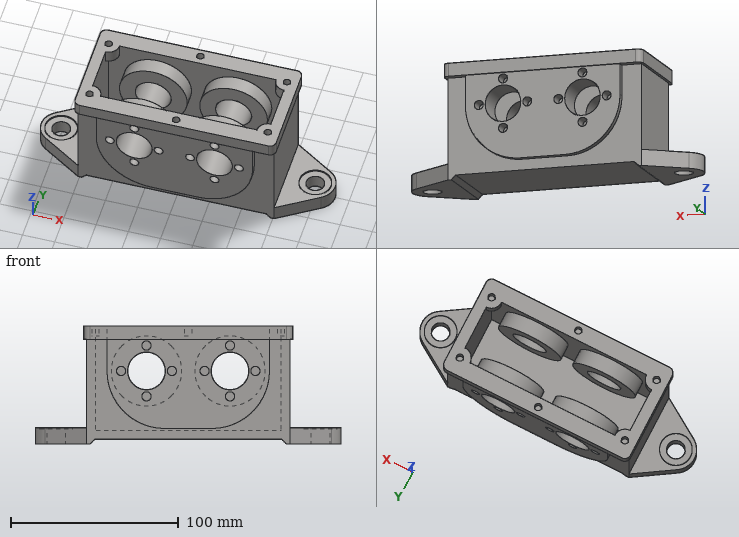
import cadquery as cq
import math

total_length = 182.6
total_height = 70.5
body_length = 121.6
body_width = 52.5
wall = 5.5
cavity_length = body_length - 2 * wall
cavity_width = body_width - 2 * wall

flange_length = 125.0
flange_width = 62.3
flange_height = 8.0
flange_corner_radius = 3.8
flange_bottom = total_height - flange_height

post_radius = 6.8
screw_hole_diameter = 4.4
screw_hole_depth = 6.0
middle_screw_y = 26.3

bore_spacing = 49.9
bore_height = 43.7
bore_diameter = 22.3
bearing_boss_diameter = 42.0
bearing_boss_length = 9.5
bolt_circle_radius = 15.2
bolt_hole_diameter = 5.5

pad_length = 97.0
pad_span = 60.3
pad_bottom = 9.3
pad_corner_radius = bore_height - pad_bottom
pad_thickness = (pad_span - body_width) / 2
bolt_hole_depth = pad_thickness + wall

lug_height = 9.9
lug_radius = 12.5
lug_hole_x = total_length / 2 - lug_radius
lug_hole_diameter = 11.1
spotface_diameter = 19.5
spotface_depth = 1.0

relief_height = 2.7
relief_bottom_length = 117.3
relief_top_length = relief_bottom_length - 2 * relief_height

floor_top = relief_height + wall
bore_centers = [(-bore_spacing / 2, bore_height), (bore_spacing / 2, bore_height)]


def box_between(length, width, bottom, top):
    """Upright block centred in X and Y between two heights."""
    return cq.Workplane("XY").workplane(offset=bottom).rect(length, width).extrude(top - bottom)


def plane_at_y(y):
    """Workplane facing -Y, with local x along X and local y along Z."""
    return cq.Workplane("XZ", origin=(0, y, 0))


def mirrored_pair(solid, plane):
    return solid.union(solid.mirror(plane))


def lugs():
    """Tapered lugs whose sides run from the body corners tangent to the round tips."""
    corner_x = body_length / 2
    corner_y = body_width / 2
    run = lug_hole_x - corner_x
    corner_distance = math.hypot(run, corner_y)
    angle = math.atan2(corner_y, -run) - math.acos(lug_radius / corner_distance)
    tangent_x = lug_hole_x + lug_radius * math.cos(angle)
    tangent_y = lug_radius * math.sin(angle)
    lug = (
        cq.Workplane("XY")
        .moveTo(0, -corner_y)
        .lineTo(corner_x, -corner_y)
        .lineTo(tangent_x, -tangent_y)
        .threePointArc((total_length / 2, 0), (tangent_x, tangent_y))
        .lineTo(corner_x, corner_y)
        .lineTo(0, corner_y)
        .close()
        .extrude(lug_height)
    )
    return mirrored_pair(lug, "YZ")


def lug_holes():
    centers = [(-lug_hole_x, 0), (lug_hole_x, 0)]
    holes = cq.Workplane("XY").pushPoints(centers).circle(lug_hole_diameter / 2).extrude(lug_height)
    spotfaces = (
        cq.Workplane("XY")
        .workplane(offset=lug_height - spotface_depth)
        .pushPoints(centers)
        .circle(spotface_diameter / 2)
        .extrude(spotface_depth)
    )
    return holes.union(spotfaces)


def pads():
    """One block through the body makes the pad on each side."""
    block = box_between(pad_length, pad_span, pad_bottom, flange_bottom)
    return block.faces("<Z").edges("|Y").fillet(pad_corner_radius)


def flange():
    block = box_between(flange_length, flange_width, flange_bottom, total_height)
    return block.edges("|Z").fillet(flange_corner_radius)


def corner_posts():
    """Round posts that fill the cavity corners at the level of the flange."""
    return (
        cq.Workplane("XY")
        .workplane(offset=flange_bottom)
        .rect(cavity_length, cavity_width, forConstruction=True)
        .vertices()
        .circle(post_radius)
        .extrude(flange_height)
    )


def screw_holes():
    """Blind holes from the rim face that stop inside the flange."""
    corners = [(sx * cavity_length / 2, sy * cavity_width / 2) for sx in (-1, 1) for sy in (-1, 1)]
    middles = [(0, -middle_screw_y), (0, middle_screw_y)]
    return (
        cq.Workplane("XY")
        .workplane(offset=total_height)
        .pushPoints(corners + middles)
        .circle(screw_hole_diameter / 2)
        .extrude(-screw_hole_depth)
    )


def bearing_bosses():
    """Round bosses standing inward from the long cavity walls."""
    bosses = (
        plane_at_y(cavity_width / 2)
        .pushPoints(bore_centers)
        .circle(bearing_boss_diameter / 2)
        .extrude(bearing_boss_length)
    )
    return mirrored_pair(bosses, "XZ")


def bearing_bores():
    return (
        plane_at_y(pad_span / 2)
        .pushPoints(bore_centers)
        .circle(bore_diameter / 2)
        .extrude(pad_span)
    )


def bolt_holes():
    """Four blind holes around each bore, in both pads."""
    centers = []
    for x, z in bore_centers:
        for dx, dz in ((1, 0), (0, 1), (-1, 0), (0, -1)):
            centers.append((x + dx * bolt_circle_radius, z + dz * bolt_circle_radius))
    holes = (
        plane_at_y(pad_span / 2)
        .pushPoints(centers)
        .circle(bolt_hole_diameter / 2)
        .extrude(bolt_hole_depth)
    )
    return mirrored_pair(holes, "XZ")


def underside_relief():
    """Channel across the full width with 45-degree ends."""
    return (
        plane_at_y(body_width / 2)
        .moveTo(-relief_bottom_length / 2, 0)
        .lineTo(-relief_top_length / 2, relief_height)
        .lineTo(relief_top_length / 2, relief_height)
        .lineTo(relief_bottom_length / 2, 0)
        .close()
        .extrude(body_width)
    )


outside = box_between(body_length, body_width, 0, total_height).union(lugs()).union(pads()).union(flange())
hollow = outside.cut(box_between(cavity_length, cavity_width, floor_top, total_height))
housing = hollow.union(bearing_bosses()).union(corner_posts())

result = housing
for cutter in (bearing_bores(), bolt_holes(), screw_holes(), lug_holes(), underside_relief()):
    result = result.cut(cutter)